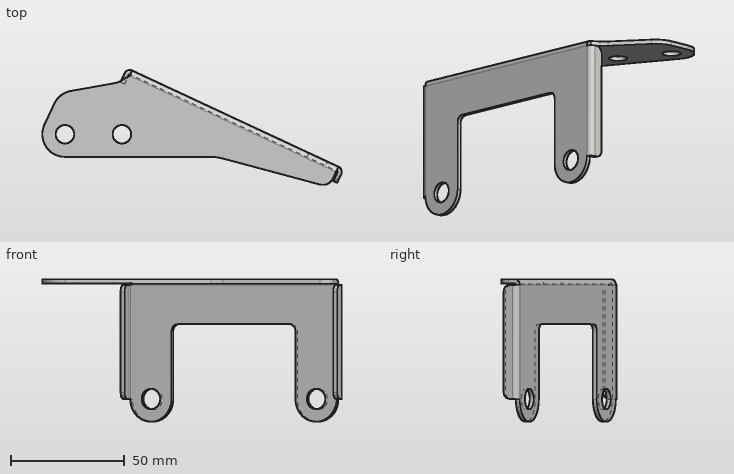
import cadquery as cq
import math

thickness = 2.0
bend_radius = 2.5
corner_radius = 3.0

plate_end_radius = 10.0
plate_hole_diameter = 8.0
plate_hole_spacing = 25.0
shoulder_x, shoulder_y = -2.5, 18.2
neck_x, neck_y = 23.4, 22.8
neck_radius = 10.0
front_edge_turn_x = 66.7
front_edge_turn_radius = 20.0
front_edge_angle = 15.0
tip_radius = 5.0

wall_angle = 25.0
wall_start_x, wall_start_y = 29.5, 28.0
leg_spacing = 80.0
leg_width = 20.0
leg_hole_diameter = 9.0
leg_hole_z = -52.7
opening_top_z = -19.7
flange_depth = 6.7

leg_radius = leg_width / 2
wall_length = leg_spacing + leg_width
flange_height = -leg_hole_z - bend_radius
cos_wall = math.cos(math.radians(wall_angle))
sin_wall = math.sin(math.radians(wall_angle))


def place_on_wall(along, inward):
    """XY position from distances along the wall and inward from its outer face."""
    return (
        wall_start_x + along * cos_wall - inward * sin_wall,
        wall_start_y - along * sin_wall - inward * cos_wall,
    )


def bend_profile(plane):
    """Quarter ring in the +X, +Y quadrant of the plane, centred on its origin."""
    inner = bend_radius - thickness
    diagonal = math.sqrt(0.5)
    return (
        cq.Workplane(plane)
        .moveTo(inner, 0)
        .lineTo(bend_radius, 0)
        .threePointArc((bend_radius * diagonal, bend_radius * diagonal), (0, bend_radius))
        .lineTo(0, inner)
        .threePointArc((inner * diagonal, inner * diagonal), (inner, 0))
        .close()
    )


def make_plate():
    left_tangent = (-plate_end_radius * cos_wall, plate_end_radius * sin_wall)
    end_middle = (-plate_end_radius * math.sqrt(0.5), -plate_end_radius * math.sqrt(0.5))
    rear_left = place_on_wall(0, bend_radius)
    rear_right = place_on_wall(wall_length, bend_radius)

    slope = math.tan(math.radians(front_edge_angle))
    edge_drop = rear_right[1] + plate_end_radius + slope * (rear_right[0] - front_edge_turn_x)
    right_edge_length = edge_drop / (cos_wall + slope * sin_wall)
    tip = place_on_wall(wall_length, bend_radius + right_edge_length)

    plate = (
        cq.Workplane("XY")
        .moveTo(0, -plate_end_radius)
        .threePointArc(end_middle, left_tangent)
        .lineTo(shoulder_x, shoulder_y)
        .lineTo(neck_x, neck_y)
        .lineTo(*rear_left)
        .lineTo(*rear_right)
        .lineTo(*tip)
        .lineTo(front_edge_turn_x, -plate_end_radius)
        .close()
        .extrude(-thickness)
    )
    rounded_corners = (
        (shoulder_x, shoulder_y, plate_end_radius),
        (neck_x, neck_y, neck_radius),
        (front_edge_turn_x, -plate_end_radius, front_edge_turn_radius),
        (*tip, tip_radius),
    )
    for x, y, radius in rounded_corners:
        corner = cq.selectors.NearestToPointSelector((x, y, -thickness / 2))
        plate = plate.edges("|Z").edges(corner).fillet(radius)

    holes = (
        cq.Workplane("XY")
        .pushPoints([(0, 0), (plate_hole_spacing, 0)])
        .circle(plate_hole_diameter / 2)
        .extrude(-thickness)
    )
    return plate.cut(holes)


def make_wall():
    web = cq.Workplane("XY").box(wall_length, thickness, flange_height, centered=False)
    web = web.translate((0, -thickness, leg_hole_z))

    leg_centers = [(leg_radius, leg_hole_z), (wall_length - leg_radius, leg_hole_z)]
    legs = cq.Workplane("XZ").pushPoints(leg_centers)
    leg_ends = legs.circle(leg_radius).extrude(thickness)
    leg_holes = legs.circle(leg_hole_diameter / 2).extrude(thickness)

    opening_height = opening_top_z - leg_hole_z + leg_radius
    opening = (
        cq.Workplane("XY")
        .box(leg_spacing - leg_width, thickness, opening_height, centered=False)
        .translate((leg_width, -thickness, opening_top_z - opening_height))
        .edges("|Y and >Z")
        .fillet(corner_radius)
    )
    top_bend = bend_profile(cq.Plane((0, -bend_radius, -bend_radius), (0, 1, 0), (1, 0, 0)))
    wall = web.union(leg_ends).cut(opening).cut(leg_holes)
    return wall.union(top_bend.extrude(wall_length))


def make_left_flange():
    bend_plane = cq.Plane((0, -bend_radius, leg_hole_z), (0, 1, 0), (0, 0, 1))
    bend = bend_profile(bend_plane).extrude(flange_height)
    flat = (
        cq.Workplane("XY")
        .box(thickness, flange_depth - bend_radius, flange_height, centered=False)
        .translate((-bend_radius, -flange_depth, leg_hole_z))
        .edges("|X and <Y")
        .fillet(corner_radius)
    )
    return bend.union(flat)


left_flange = make_left_flange()
right_flange = left_flange.mirror("YZ").translate((wall_length, 0, 0))
wall = make_wall().union(left_flange).union(right_flange)
wall = wall.rotate((0, 0, 0), (0, 0, 1), -wall_angle).translate((wall_start_x, wall_start_y, 0))

result = make_plate().union(wall)